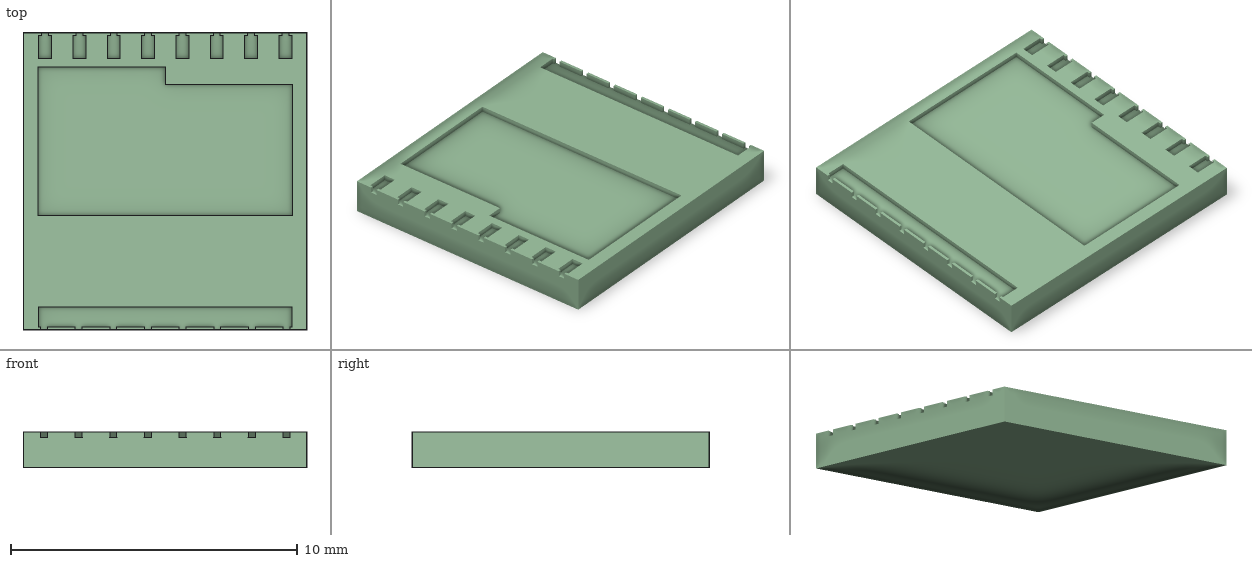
import cadquery as cq
LENGTH_X = 9.9
LENGTH_Y = 10.38
THICKNESS = 1.25

RECESS_DEPTH = 0.205

RIM = 0.1
NOTCH_WIDTH = 0.24

CONTACT_COUNT = 8
BACK_PITCH = 1.2
FRONT_PITCH = 1.21
PAD_WIDTH = 0.45
PAD_LENGTH = 0.8

POCKET_WIDTH = 8.9
POCKET_LENGTH = 5.18
POCKET_BACK_INSET = 1.21
POCKET_STEP = 0.6

TROUGH_LENGTH = 0.7
TROUGH_WIDTH = (CONTACT_COUNT - 1) * BACK_PITCH + PAD_WIDTH

BACK_Y = LENGTH_Y / 2
FRONT_Y = -LENGTH_Y / 2
FLOOR_Z = THICKNESS - RECESS_DEPTH


def row_positions(pitch):
    """X positions of a row of contacts centred on the plate."""
    span = (CONTACT_COUNT - 1) * pitch
    return [i * pitch - span / 2 for i in range(CONTACT_COUNT)]


def box_recess(x_centre, y_min, width, length):
    """Rectangular cutter from the recess floor to the top face."""
    return (
        cq.Workplane("XY", origin=(x_centre, y_min + length / 2, FLOOR_Z))
        .rect(width, length)
        .extrude(RECESS_DEPTH)
    )


def stepped_pocket():
    """Large pocket cutter whose back edge steps forward on the +X half."""
    half_width = POCKET_WIDTH / 2
    back = BACK_Y - POCKET_BACK_INSET
    front = back - POCKET_LENGTH
    outline = [
        (-half_width, front),
        (half_width, front),
        (half_width, back - POCKET_STEP),
        (0, back - POCKET_STEP),
        (0, back),
        (-half_width, back),
    ]
    return cq.Workplane("XY", origin=(0, 0, FLOOR_Z)).polyline(outline).close().extrude(RECESS_DEPTH)


result = cq.Workplane("XY").box(LENGTH_X, LENGTH_Y, THICKNESS, centered=(True, True, False))

result = result.cut(stepped_pocket())

for pad_x in row_positions(BACK_PITCH):
    result = result.cut(box_recess(pad_x, BACK_Y - RIM - PAD_LENGTH, PAD_WIDTH, PAD_LENGTH))
    result = result.cut(box_recess(pad_x, BACK_Y - RIM, NOTCH_WIDTH, RIM))

result = result.cut(box_recess(0, FRONT_Y + RIM, TROUGH_WIDTH, TROUGH_LENGTH))
for notch_x in row_positions(FRONT_PITCH):
    result = result.cut(box_recess(notch_x, FRONT_Y, NOTCH_WIDTH, RIM))